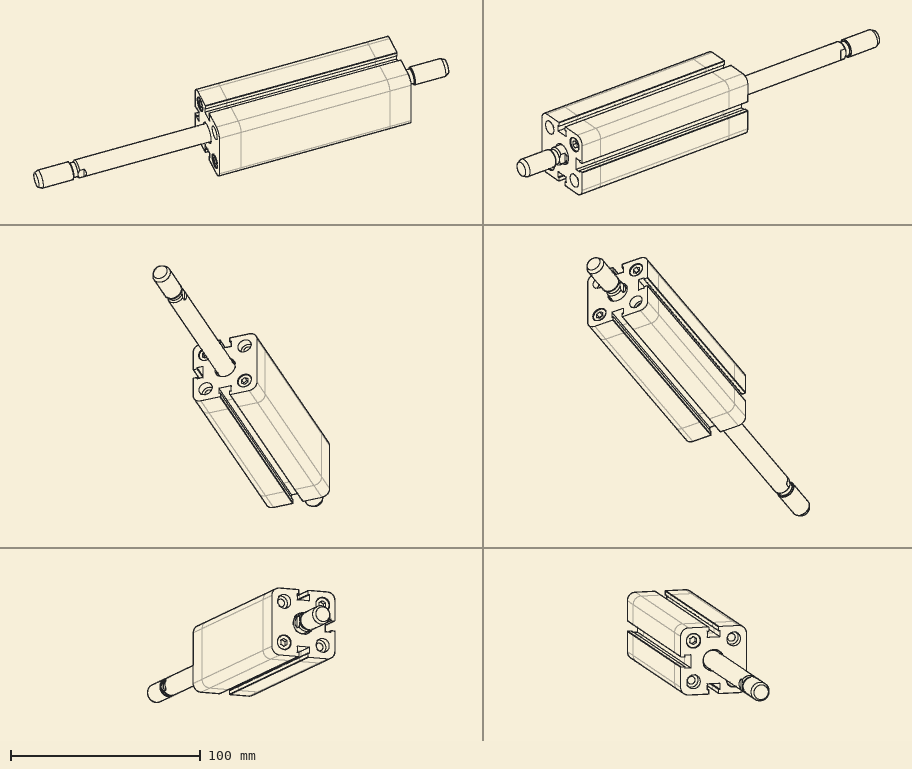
import cadquery as cq
import math

total_length = 231.0
body_width = 36.0
body_length = 108.0
rear_rod_length = 26.5
front_cap_length = 12.2
rear_cap_length = 12.0
body_corner_radius = 4.5

rear_tip_y = total_length / 2
front_tip_y = -total_length / 2
rear_face_y = rear_tip_y - rear_rod_length
front_face_y = rear_face_y - body_length

slot_mouth_width = 5.3
slot_mouth_chamfer = 0.2
slot_inner_width = 7.0
slot_depth = 5.5
slot_lip = 2.3
slot_angles = (0, 90, 180)

bolt_pitch = 22.0
bolt_hole_diameter = 4.2
counterbore_diameter = 7.5
counterbore_depth = 4.6
screw_bore_diameter = 7.9
screw_head_diameter = 7.5
screw_head_recess = 0.5
screw_socket_corners = 4.2
screw_socket_depth = 3.5
hex_sides = 6

rod_diameter = 10.0
rod_bore_diameter = 11.5
rod_bore_depth = 2.3
neck_diameter = 8.0
thread_length = 19.2
rod_embedded_length = 12.0
neck_length = 2.8
tip_chamfer = 2.0
tip_diameter = 7.9
neck_fillet = 0.5
flat_width = 8.0
flat_length = 3.5


def along_y(y, x=0.0, z=0.0):
    """Workplane at position y whose normal is +Y, local X is +X and local Y is -Z."""
    return cq.Workplane(cq.Plane(origin=(x, y, z), xDir=(1, 0, 0), normal=(0, 1, 0)))


def cylinder(diameter, start_y, end_y, x=0.0, z=0.0):
    return along_y(start_y, x, z).circle(diameter / 2).extrude(end_y - start_y)


def slot_cutter():
    """T-slot along the body, opening on the +Z side with chamfered mouth edges."""
    top = body_width / 2
    floor = top - slot_depth
    lip = top - slot_lip
    right_side = [
        (slot_inner_width / 2, floor),
        (slot_inner_width / 2, lip),
        (slot_mouth_width / 2, lip),
        (slot_mouth_width / 2, top - slot_mouth_chamfer),
        (slot_mouth_width / 2 + slot_mouth_chamfer, top),
    ]
    left_side = [(-x, z) for x, z in reversed(right_side)]
    return cq.Workplane("XZ").polyline(right_side + left_side).close().extrude(total_length, both=True)


def body_section(start_y, length):
    """One slotted length of the square body."""
    section = along_y(start_y).rect(body_width, body_width).extrude(length)
    section = section.edges("|Y").fillet(body_corner_radius)
    for angle in slot_angles:
        section = section.cut(slot_cutter().rotate((0, 0, 0), (0, 1, 0), -angle))
    return section


def make_body():
    """Flush caps and barrel, keeping the joint lines between them."""
    barrel_length = body_length - front_cap_length - rear_cap_length
    barrel_y = front_face_y + front_cap_length
    body = body_section(front_face_y, front_cap_length)
    body = body.union(body_section(barrel_y, barrel_length), clean=False)
    return body.union(body_section(barrel_y + barrel_length, rear_cap_length), clean=False)


def end_bore(diameter, depth, x=0.0, z=0.0):
    """The same bore sunk into both end faces."""
    front = cylinder(diameter, front_face_y, front_face_y + depth, x, z)
    return front.union(cylinder(diameter, rear_face_y - depth, rear_face_y, x, z))


def through_bolt_hole(x, z):
    hole = cylinder(bolt_hole_diameter, front_face_y, rear_face_y, x, z)
    return hole.union(end_bore(counterbore_diameter, counterbore_depth, x, z))


def hex_sockets(x, z):
    """Hexagonal sockets in the screw heads at both ends, with corners pointing along Z."""
    corner_radius = screw_socket_corners / 2
    side_angle = 2 * math.pi / hex_sides
    corners = []
    for index in range(hex_sides):
        angle = (index + 0.5) * side_angle
        corners.append((corner_radius * math.cos(angle), corner_radius * math.sin(angle)))
    front = along_y(front_face_y, x, z).polyline(corners).close().extrude(screw_socket_depth)
    rear = along_y(rear_face_y, x, z).polyline(corners).close().extrude(-screw_socket_depth)
    return front.union(rear)


def screw_pocket(x, z):
    """Counterbore filled by a socket-head screw that sits just below the face."""
    head = end_bore(screw_head_diameter, counterbore_depth, x, z)
    head = head.cut(end_bore(screw_head_diameter, screw_head_recess, x, z))
    head = head.cut(hex_sockets(x, z))
    return end_bore(screw_bore_diameter, counterbore_depth, x, z).cut(head)


def flat_cutter(shoulder_y, direction):
    """Pair of wrench flats on the X sides, running inward from the shoulder to a 45-degree end."""
    inner = flat_width / 2
    outer = inner + rod_diameter
    run_out = flat_length + (outer - inner)
    right = (
        cq.Workplane("XY")
        .polyline(
            [
                (inner, shoulder_y),
                (inner, shoulder_y + direction * flat_length),
                (outer, shoulder_y + direction * run_out),
                (outer, shoulder_y),
            ]
        )
        .close()
        .extrude(rod_diameter, both=True)
    )
    return right.union(right.mirror("YZ"))


def rod_end(tip_y, inner_y, direction):
    """Rod from inner_y to a chamfered tip past a narrow neck; direction is the inward Y sign."""
    rod_radius = rod_diameter / 2
    neck_radius = neck_diameter / 2
    thread_y = tip_y + direction * thread_length
    shoulder_y = thread_y + direction * neck_length
    shoulder_run = rod_radius - neck_radius
    rod = (
        cq.Workplane("XY")
        .polyline(
            [
                (0, tip_y),
                (tip_diameter / 2, tip_y),
                (rod_radius, tip_y + direction * tip_chamfer),
                (rod_radius, thread_y),
                (neck_radius + neck_fillet, thread_y),
            ]
        )
        .radiusArc((neck_radius, thread_y + direction * neck_fillet), direction * -neck_fillet)
        .lineTo(neck_radius, shoulder_y)
        .lineTo(rod_radius, shoulder_y + direction * shoulder_run)
        .lineTo(rod_radius, inner_y)
        .lineTo(0, inner_y)
        .close()
        .revolve(360, (0, 0, 0), (0, 1, 0))
    )
    return rod.cut(flat_cutter(shoulder_y, direction))


body = make_body().cut(end_bore(rod_bore_diameter, rod_bore_depth), clean=False)
offset = bolt_pitch / 2
for side in (1, -1):
    body = body.cut(through_bolt_hole(side * offset, side * offset), clean=False)
    body = body.cut(screw_pocket(side * offset, -side * offset), clean=False)

front_rod = rod_end(front_tip_y, front_face_y + rod_embedded_length, 1)
rear_rod = rod_end(rear_tip_y, rear_face_y - rod_embedded_length, -1)
result = body.union(front_rod, clean=False).union(rear_rod, clean=False)